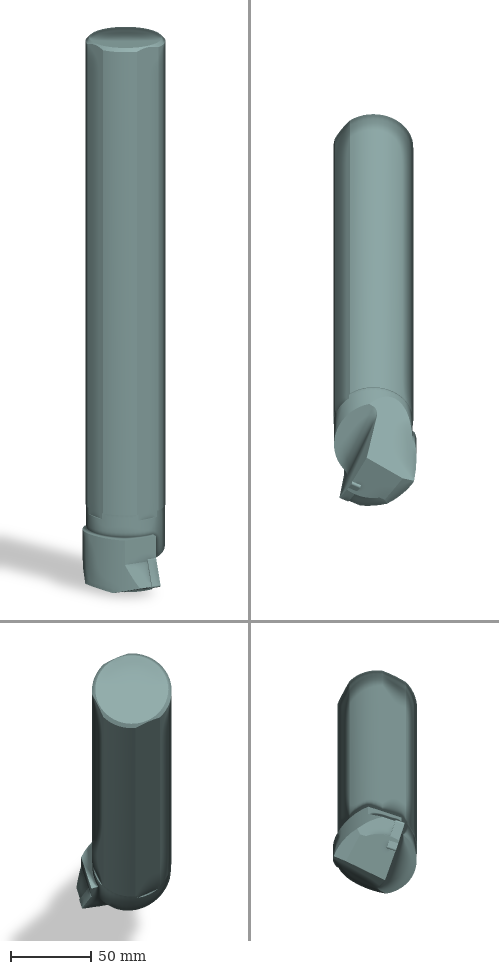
import cadquery as cq
import math

total_length = 356.0
shank_radius = 25.0
neck_radius = 24.5
neck_top_z = 51.5
shank_chamfer = 2.0
flat_distance = 23.5
flat_bottom_z = 47.7

head_top_z = 37.5
head_floor_z = 1.5
head_front_y = -29.0
front_arc_radius = 40.2
left_end = (-15.3, -20.5)
left_middle = (-8.5, -26.7)
back_slope_top_z = 46.3
back_slope_toe_x = -2.5
floor_relief_start_y = -20.5
floor_relief_rise = 2.5

chip_face_angle = 8.0
chip_face_y = 6.5
chip_ceiling_z = 28.0
chip_ceiling_angle = 16.0
chip_corner_radius = 3.5

insert_size = 18.5
insert_angle = 20.0
insert_thickness = 6.0
insert_nose_u = 35.5
insert_nose_z = 6.0
insert_nose_radius = 1.0
insert_overhang = 0.7
head_side_u = 29.2

reach = 106.8

rake = math.radians(chip_face_angle)
chip_plane = cq.Plane(
    origin=(0, chip_face_y, 0),
    xDir=(math.cos(rake), -math.sin(rake), 0),
    normal=(-math.sin(rake), -math.cos(rake), 0),
)


def insert_corner(size, along, up):
    """Point inside the insert square, as fractions of its two edges from the nose."""
    angle = math.radians(insert_angle)
    u = insert_nose_u - size * (along * math.cos(angle) + up * math.sin(angle))
    z = insert_nose_z + size * (up * math.cos(angle) - along * math.sin(angle))
    return (u, z)


def make_shank():
    neck = cq.Workplane("XY").circle(neck_radius).extrude(neck_top_z)
    shank = (
        cq.Workplane("XY", origin=(0, 0, neck_top_z))
        .circle(shank_radius)
        .extrude(total_length - neck_top_z)
        .faces(">Z")
        .chamfer(shank_chamfer)
    )
    return neck.union(shank)


def cut_flats(body):
    """Clamping flats on the +X, +Y and -Y sides."""
    cutter = cq.Workplane("XY").box(
        reach, reach, total_length, centered=(False, True, False)
    ).translate((flat_distance, 0, flat_bottom_z))
    for angle in (-90, 0, 90):
        body = body.cut(cutter.rotate((0, 0, 0), (0, 0, 1), angle))
    return body


def make_head():
    """Rounded plan outline trimmed by the side and floor of the insert seat."""
    arc_end = (front_arc_radius, head_front_y + front_arc_radius)
    half = math.sqrt(0.5) * front_arc_radius
    arc_middle = (half, head_front_y + front_arc_radius - half)
    plan = (
        cq.Workplane("XY")
        .moveTo(*left_end)
        .threePointArc(left_middle, (0, head_front_y))
        .threePointArc(arc_middle, arc_end)
        .lineTo(left_end[0], arc_end[1])
        .close()
        .extrude(head_top_z)
    )
    inset = insert_overhang / insert_size
    nose = insert_corner(insert_size, inset, inset)
    slope = math.tan(math.radians(insert_angle))
    side_z = nose[1] + (nose[0] - head_side_u) / slope
    floor_u = nose[0] - (nose[1] - head_floor_z) / slope
    seat_profile = (
        cq.Workplane(chip_plane)
        .polyline([
            (-reach, head_floor_z),
            (floor_u, head_floor_z),
            nose,
            (head_side_u, side_z),
            (head_side_u, head_top_z),
            (-reach, head_top_z),
        ])
        .close()
        .extrude(reach)
    )
    return plan.intersect(seat_profile)


def cut_back_slope(body):
    """Slanted clearance face on the -X side."""
    slope_run = back_slope_toe_x + shank_radius
    slope = (back_slope_top_z - head_floor_z) / slope_run
    top = (back_slope_toe_x - reach, head_floor_z + slope * reach)
    toe = (back_slope_toe_x + head_floor_z / slope, 0)
    cutter = (
        cq.Workplane("XZ")
        .polyline([toe, top, (-2 * reach, 0)])
        .close()
        .extrude(reach, both=True)
    )
    return body.cut(cutter)


def cut_chip_pocket(body):
    """Open space on the +Y side of the chip face, under a slanted ceiling."""
    drop = reach * math.tan(math.radians(chip_ceiling_angle))
    cutter = (
        cq.Workplane(chip_plane)
        .polyline([
            (-reach, chip_ceiling_z + drop),
            (reach, chip_ceiling_z - drop),
            (reach, -reach),
            (-reach, -reach),
        ])
        .close()
        .extrude(-reach)
        .faces(cq.selectors.DirectionMinMaxSelector(chip_plane.zDir))
        .edges(">Z")
        .fillet(chip_corner_radius)
    )
    return body.cut(cutter)


def cut_floor(body):
    """Flat floor of the neck and slanted relief below the front of the head."""
    below = cq.Workplane("XY").box(
        neck_radius * 2, reach, head_floor_z, centered=(True, True, False)
    )
    relief = (
        cq.Workplane("YZ")
        .polyline([
            (floor_relief_start_y, head_floor_z),
            (head_front_y, head_floor_z + floor_relief_rise),
            (head_front_y, head_floor_z),
        ])
        .close()
        .extrude(reach, both=True)
    )
    return body.cut(below).cut(relief)


def make_insert():
    corners = [
        insert_corner(insert_size, along, up)
        for along, up in ((0, 0), (1, 0), (1, 1), (0, 1))
    ]
    return (
        cq.Workplane(chip_plane)
        .polyline(corners)
        .close()
        .extrude(insert_thickness)
        .edges(cq.selectors.ParallelDirSelector(chip_plane.zDir))
        .fillet(insert_nose_radius)
    )


insert = make_insert()
holder = cut_flats(make_shank()).union(make_head())
holder = cut_floor(cut_chip_pocket(cut_back_slope(holder)))
holder = holder.cut(insert)

result = cq.Compound.makeCompound([holder.val(), insert.val()])